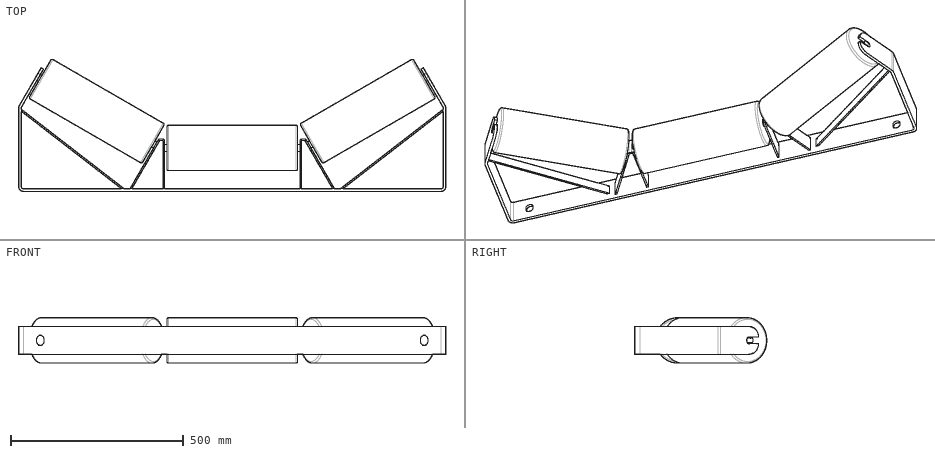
import cadquery as cq
import math


TROUGH_ANGLE = 30.0
ROLLER_DIAMETER = 133.0
ROLLER_LENGTH = 380.0
ROLLER_ROUNDING = 5.0
CENTRE_ROLLER_Y = 126.0
SIDE_ROLLER_X = 393.0
SIDE_ROLLER_Y = 233.0

SHAFT_DIAMETER = 21.0
SHAFT_FLAT_WIDTH = 14.0
SLOT_WIDTH = 19.0
BRACKET_GAP = 6.0
ARM_GAP = 5.0

FRAME_LENGTH = 1240.0
STRAP_HEIGHT = 80.0
STRAP_THICKNESS = 8.0
STRAP_BEND_RADIUS = 15.0
ARM_BEYOND_AXIS = 29.0
ARM_CORNER_RADIUS = 30.0

BRACKET_HEIGHT = 52.0
BRACKET_THICKNESS = 5.0
BRACKET_BEND_RADIUS = 6.0
BRACKET_TOP_Y = 153.0

BRACE_HEIGHT = 31.0
BRACE_THICKNESS = 5.0
BRACE_FOOT_X = 316.0
BRACE_TOP_Y = 235.0

MOUNT_X = 557.0
MOUNT_LENGTH = 29.0
MOUNT_WIDTH = 21.0

ANGLE = math.radians(TROUGH_ANGLE)
OUTWARD = (-math.cos(ANGLE), math.sin(ANGLE))
UPWARD = (math.sin(ANGLE), math.cos(ANGLE))
SIDE_ROLLER = (-SIDE_ROLLER_X, SIDE_ROLLER_Y)
BRACKET_OFFSET = ROLLER_LENGTH / 2 + BRACKET_GAP
ARM_OFFSET = ROLLER_LENGTH / 2 + ARM_GAP

STRAP_MIDDLE = STRAP_THICKNESS / 2
SLOT_CUT_LENGTH = 62.0


def shifted(point, direction, distance):
    """The point moved by a distance along a unit direction."""
    return (point[0] + distance * direction[0], point[1] + distance * direction[1])


def on_support(seat, x=None, y=None):
    """The point at a given x or y on the sloping line through a seat."""
    if x is not None:
        return shifted(seat, UPWARD, (x - seat[0]) / UPWARD[0])
    return shifted(seat, UPWARD, (y - seat[1]) / UPWARD[1])


def left_normal(start, end):
    """Unit normal on the left of the line from start to end."""
    length = math.dist(start, end)
    return ((start[1] - end[1]) / length, (end[0] - start[0]) / length)


def offset_path(path, thickness):
    """The path moved to its left by a thickness, mitred at each bend."""
    normals = [left_normal(a, b) for a, b in zip(path, path[1:])]
    moved = [shifted(path[0], normals[0], thickness)]
    for bend, before, after in zip(path[1:], normals, normals[1:]):
        share = thickness / (1 + before[0] * after[0] + before[1] * after[1])
        moved.append(shifted(bend, (before[0] + after[0], before[1] + after[1]), share))
    moved.append(shifted(path[-1], normals[-1], thickness))
    return moved


def bent_strip(outer_path, thickness, height, bend_radius=0.0):
    """A strip on edge whose outer face follows a path and whose bends are rounded."""
    inner_path = offset_path(outer_path, thickness)
    outline = cq.Workplane("XY").polyline(outer_path + inner_path[::-1]).close()
    strip = outline.extrude(height / 2, both=True)
    for path, radius in ((outer_path, bend_radius), (inner_path, bend_radius - thickness)):
        if radius > 0:
            for x, y in path[1:-1]:
                bend = cq.selectors.NearestToPointSelector((x, y, 0))
                strip = strip.edges(bend).fillet(radius)
    return strip


def both_sides(left):
    """The left feature together with its mirror image on the right."""
    return left.union(left.mirror("YZ"))


def support_plane(seat, outward):
    """Plane at a shaft seat: x up along the support, z outward along the roller."""
    upward = (outward[1], -outward[0], 0)
    return cq.Workplane(cq.Plane(origin=(*seat, 0), xDir=upward, normal=(*outward, 0)))


def flat_half_length(diameter):
    """Half the length of the chord that a shaft flat makes in a circle."""
    return math.sqrt(diameter**2 - SHAFT_FLAT_WIDTH**2) / 2


def shaft_slot(seat, outward, thickness):
    """Cutter for a slot, open at the top, whose round bottom carries the flatted shaft."""
    drop = flat_half_length(SHAFT_DIAMETER) - flat_half_length(SLOT_WIDTH)
    plane = support_plane(seat, outward)
    bottom = plane.center(-drop, 0).circle(SLOT_WIDTH / 2).extrude(thickness)
    sides = plane.center(SLOT_CUT_LENGTH / 2 - drop, 0).rect(SLOT_CUT_LENGTH, SLOT_WIDTH).extrude(thickness)
    return bottom.union(sides)


def outer_strap():
    """Base, two uprights and two inclined arms bent from one strap."""
    inner_seat = shifted(SIDE_ROLLER, OUTWARD, ARM_OFFSET)
    outer_seat = shifted(inner_seat, OUTWARD, STRAP_THICKNESS)
    tip = shifted(outer_seat, UPWARD, ARM_BEYOND_AXIS)
    left_path = [tip, on_support(outer_seat, x=-FRAME_LENGTH / 2), (-FRAME_LENGTH / 2, 0)]
    right_path = [(-x, y) for x, y in reversed(left_path)]
    strap = bent_strip(left_path + right_path, STRAP_THICKNESS, STRAP_HEIGHT, STRAP_BEND_RADIUS)

    end_length = 2 * ARM_CORNER_RADIUS
    plane = support_plane(inner_seat, OUTWARD).center(ARM_BEYOND_AXIS - end_length / 2, 0)
    square_end = plane.rect(end_length, STRAP_HEIGHT).extrude(STRAP_THICKNESS)
    through_edges = cq.selectors.ParallelDirSelector(cq.Vector(*OUTWARD))
    round_end = square_end.edges(through_edges).edges(">Y").fillet(ARM_CORNER_RADIUS)
    end_waste = square_end.cut(round_end)
    slot = shaft_slot(inner_seat, OUTWARD, STRAP_THICKNESS)
    return strap.cut(both_sides(end_waste)).cut(both_sides(slot))


def mounting_slots():
    """Cutters for the two upright slots through the base."""
    return (
        cq.Workplane("XZ")
        .pushPoints([(-MOUNT_X, 0), (MOUNT_X, 0)])
        .slot2D(MOUNT_LENGTH, MOUNT_WIDTH, 90)
        .extrude(-STRAP_THICKNESS)
    )


def inner_bracket():
    """Left bracket: a sloping leg for the side roller and an upright one for the centre roller."""
    slope_seat = shifted(SIDE_ROLLER, OUTWARD, -BRACKET_OFFSET)
    path = [
        (-BRACKET_OFFSET, STRAP_MIDDLE),
        (-BRACKET_OFFSET, BRACKET_TOP_Y),
        on_support(slope_seat, y=BRACKET_TOP_Y),
        on_support(slope_seat, y=STRAP_MIDDLE),
    ]
    bracket = bent_strip(path, BRACKET_THICKNESS, BRACKET_HEIGHT, BRACKET_BEND_RADIUS)
    upright_seat = (-BRACKET_OFFSET, CENTRE_ROLLER_Y)
    return bracket.cut(shaft_slot(upright_seat, (-1, 0), BRACKET_THICKNESS))


def diagonal_brace():
    """Left brace from the base up to the upright of the strap."""
    path = [(STRAP_MIDDLE - FRAME_LENGTH / 2, BRACE_TOP_Y), (-BRACE_FOOT_X, STRAP_MIDDLE)]
    return bent_strip(path, BRACE_THICKNESS, BRACE_HEIGHT)


def welded_frame():
    """Strap, brackets and braces as one solid."""
    frame = outer_strap().cut(mounting_slots())
    return frame.union(both_sides(inner_bracket())).union(both_sides(diagonal_brace()))


def plain_end(length):
    """A round shaft end along +x from the roller's middle, which butts against its support."""
    return cq.Workplane("YZ").circle(SHAFT_DIAMETER / 2).extrude(length)


def flatted_end(length, bearing_thickness):
    """A shaft end along +x that goes on past its round length, flatted, through a slot."""
    plane = cq.Workplane("YZ", origin=(length, 0, 0))
    tongue = plane.circle(SHAFT_DIAMETER / 2).extrude(bearing_thickness)
    flats = plane.rect(SHAFT_DIAMETER, SHAFT_FLAT_WIDTH).extrude(bearing_thickness)
    return plain_end(length).union(tongue.intersect(flats))


def roller(left_end, right_end):
    """A roller along x, centred on the origin, with its two shaft ends."""
    plane = cq.Workplane("YZ", origin=(-ROLLER_LENGTH / 2, 0, 0))
    shell = plane.circle(ROLLER_DIAMETER / 2).extrude(ROLLER_LENGTH)
    shell = shell.faces("<X or >X").edges().fillet(ROLLER_ROUNDING)
    return shell.union(left_end.mirror("YZ")).union(right_end)


def centre_roller():
    """The level roller, held in the slots of both brackets."""
    end = flatted_end(BRACKET_OFFSET, BRACKET_THICKNESS)
    return roller(end, end).translate((0, CENTRE_ROLLER_Y, 0))


def side_roller():
    """The left tilted roller, held in the slot of the arm and butting against the bracket."""
    body = roller(flatted_end(ARM_OFFSET, STRAP_THICKNESS), plain_end(BRACKET_OFFSET))
    return body.rotate((0, 0, 0), (0, 0, 1), -TROUGH_ANGLE).translate((*SIDE_ROLLER, 0))


frame = welded_frame()
middle_roller = centre_roller()
left_roller = side_roller()
right_roller = left_roller.mirror("YZ")

result = cq.Compound.makeCompound([
    frame.val(),
    middle_roller.val(),
    left_roller.val(),
    right_roller.val(),
])